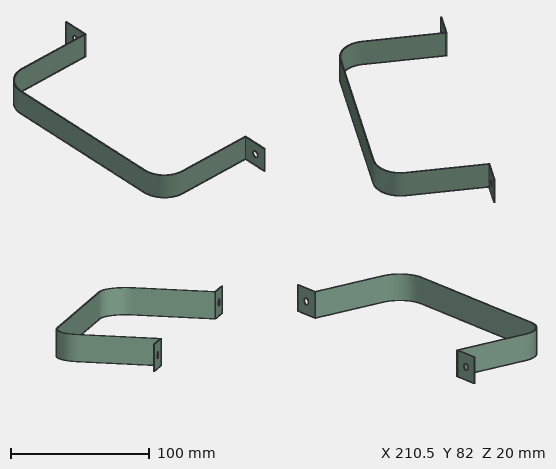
import cadquery as cq

overall_length = 210.5
depth = 82.0
strip_height = 20.0
thickness = 0.8
tab_length = 20.0
outer_bend_radius = 20.0
hole_diameter = 5.0
hole_edge_distance = 10.0

bracket_width = overall_length - 2 * tab_length
hole_spacing = overall_length - 2 * hole_edge_distance


def bent_block(width, block_depth, bend_radius):
    """Block with its back on Y = 0 and its two front vertical edges rounded."""
    block = cq.Workplane("XY").box(width, block_depth, strip_height, centered=(True, False, True))
    block = block.translate((0, -block_depth, 0))
    return block.edges("|Z and <Y").fillet(bend_radius)


outer = bent_block(bracket_width, depth, outer_bend_radius)
inner = bent_block(bracket_width - 2 * thickness, depth - thickness, outer_bend_radius - thickness)
result = outer.cut(inner)

for side in (-1, 1):
    tab_reach = tab_length + thickness
    tab = cq.Workplane("XY").box(tab_reach, thickness, strip_height)
    tab_center_x = side * (overall_length - tab_reach) / 2
    result = result.union(tab.translate((tab_center_x, -thickness / 2, 0)))

    hole = cq.Workplane("XZ").center(side * hole_spacing / 2, 0).circle(hole_diameter / 2)
    result = result.cut(hole.extrude(thickness))